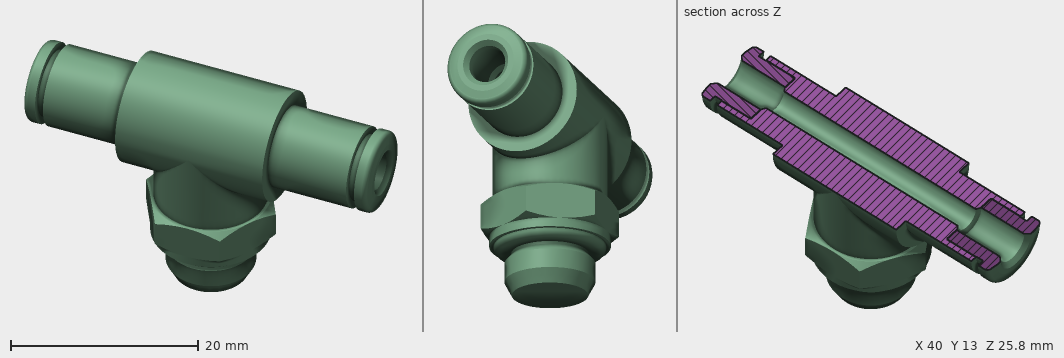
import cadquery as cq
import math

overall_length = 40.0
run_dia = 12.3
run_length = 17.05
sleeve_dia = 9.1
through_bore_dia = 3.0
tube_bore_dia = 4.1
seat_cone_depth = 0.3
end_x = overall_length / 2

head_dia = sleeve_dia
head_face_dia = 6.4
head_face_slope = 0.1
head_round = 0.5
head_thickness = 1.5
head_gap = 0.9
neck_dia = 7.4
neck_insertion = 4.0
mouth_dia = 5.1
mouth_chamfer = 0.5
sleeve_end_x = end_x - head_thickness - head_gap
collet_inner_x = sleeve_end_x - neck_insertion

hex_top_z = -9.25
hex_height = 3.9
hex_flats = 13.0
hex_chamfer_angle = 30.0
hex_half_side_angle = 180 / 6
collar_dia = hex_flats
collar_height = 1.0
groove_dia = 8.3
groove_height = 1.15
thread_dia = 9.7
thread_lead_in = 0.75
thread_height = 2.1
tip_dia = 8.15
tip_height = 1.5

seal_dia = 12.1
seal_height = 0.85
seal_round = 0.8

hex_bottom_z = hex_top_z - hex_height
collar_bottom_z = hex_bottom_z - collar_height


def cylinder_x(diameter, x_start, x_end):
    """Cylinder on the X axis between two stations."""
    return cq.Workplane("YZ", origin=(x_start, 0, 0)).circle(diameter / 2).extrude(x_end - x_start)


def at_both_ends(make_for_positive_end):
    """The feature of the +X end and its mirror image at the -X end."""
    feature = make_for_positive_end()
    return [feature, feature.mirror("YZ")]


def make_end_cavity():
    """Recess for one collet, ending in the conical tube seat."""
    seat_x = collet_inner_x - seat_cone_depth
    return (
        cq.Workplane("XY")
        .moveTo(seat_x, 0)
        .lineTo(seat_x, through_bore_dia / 2)
        .lineTo(collet_inner_x, tube_bore_dia / 2)
        .lineTo(collet_inner_x, neck_dia / 2)
        .lineTo(sleeve_end_x, neck_dia / 2)
        .lineTo(sleeve_end_x, 0)
        .close()
        .revolve(360, (0, 0, 0), (1, 0, 0))
    )


def make_tee_body():
    run = cylinder_x(run_dia, -run_length / 2, run_length / 2)
    branch = cq.Workplane("XY").circle(run_dia / 2).extrude(hex_top_z)
    sleeves = cylinder_x(sleeve_dia, -sleeve_end_x, sleeve_end_x)
    body = run.union(branch).union(sleeves)
    body = body.cut(cylinder_x(through_bore_dia, -end_x, end_x))
    for cavity in at_both_ends(make_end_cavity):
        body = body.cut(cavity)
    return body


def make_collet():
    """Collet at the +X end: rounded head outside, plain neck in the sleeve."""
    head_radius = head_dia / 2
    round_x = end_x - head_face_slope
    round_side = head_round * math.sqrt(0.5)
    head_inner_x = end_x - head_thickness
    return (
        cq.Workplane("XY")
        .moveTo(collet_inner_x, tube_bore_dia / 2)
        .lineTo(end_x - mouth_chamfer, tube_bore_dia / 2)
        .lineTo(end_x, mouth_dia / 2)
        .lineTo(end_x, head_face_dia / 2)
        .lineTo(round_x, head_radius - head_round)
        .threePointArc(
            (round_x - head_round + round_side, head_radius - head_round + round_side),
            (round_x - head_round, head_radius),
        )
        .lineTo(head_inner_x, head_radius)
        .lineTo(head_inner_x, neck_dia / 2)
        .lineTo(collet_inner_x, neck_dia / 2)
        .close()
        .revolve(360, (0, 0, 0), (1, 0, 0))
    )


def make_hexagon():
    """Hexagon with corners on X, its corners chamfered at top and bottom."""
    corner_radius = hex_flats / 2 / math.cos(math.radians(hex_half_side_angle))
    flat_radius = hex_flats / 2
    drop = (corner_radius - flat_radius) * math.tan(math.radians(hex_chamfer_angle))
    hexagon = (
        cq.Workplane("XY", origin=(0, 0, hex_bottom_z)).polygon(6, 2 * corner_radius).extrude(hex_height)
    )
    chamfer_envelope = (
        cq.Workplane("XZ")
        .moveTo(0, hex_bottom_z)
        .lineTo(flat_radius, hex_bottom_z)
        .lineTo(corner_radius, hex_bottom_z + drop)
        .lineTo(corner_radius, hex_top_z - drop)
        .lineTo(flat_radius, hex_top_z)
        .lineTo(0, hex_top_z)
        .close()
        .revolve(360, (0, 0, 0), (0, 1, 0))
    )
    return hexagon.intersect(chamfer_envelope)


def make_stud():
    """Hexagon, collar, undercut and thread with a tapered tip, in one piece."""
    lead_in_z = collar_bottom_z - groove_height
    thread_top_z = lead_in_z - thread_lead_in
    thread_bottom_z = thread_top_z - thread_height
    tip_z = thread_bottom_z - tip_height
    shank = (
        cq.Workplane("XZ")
        .moveTo(0, hex_bottom_z)
        .lineTo(collar_dia / 2, hex_bottom_z)
        .lineTo(collar_dia / 2, collar_bottom_z)
        .lineTo(groove_dia / 2, collar_bottom_z)
        .lineTo(groove_dia / 2, lead_in_z)
        .lineTo(thread_dia / 2, thread_top_z)
        .lineTo(thread_dia / 2, thread_bottom_z)
        .lineTo(tip_dia / 2, tip_z)
        .lineTo(0, tip_z)
        .close()
        .revolve(360, (0, 0, 0), (0, 1, 0))
    )
    return make_hexagon().union(shank)


def make_seal():
    """Ring around the undercut, rounded at its lower outer edge."""
    return (
        cq.Workplane("XY", origin=(0, 0, collar_bottom_z))
        .circle(seal_dia / 2)
        .extrude(-seal_height)
        .faces("<Z").edges().fillet(seal_round)
        .cut(cq.Workplane("XY", origin=(0, 0, collar_bottom_z)).circle(groove_dia / 2).extrude(-seal_height))
    )


tee_body = make_tee_body()
collets = at_both_ends(make_collet)
stud = make_stud()
seal = make_seal()

result = cq.Compound.makeCompound(
    [tee_body.val(), *[collet.val() for collet in collets], stud.val(), seal.val()]
)